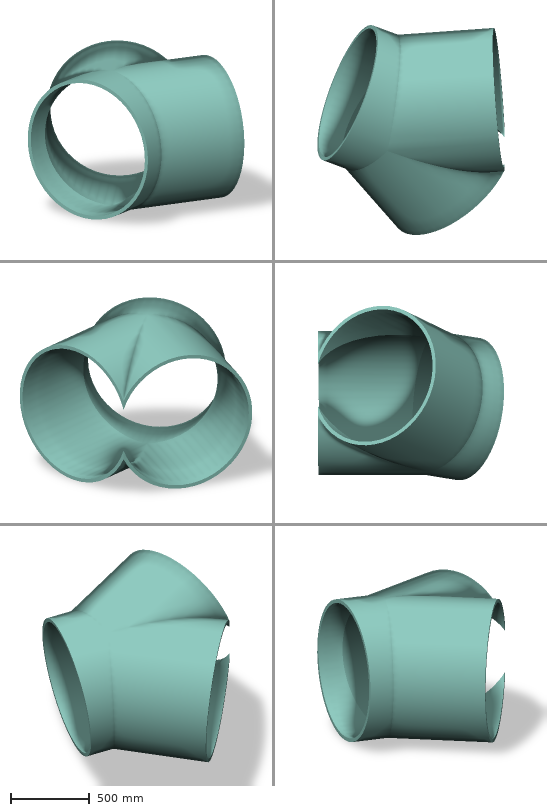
import cadquery as cq
import math

outer_diameter = 914.4
bore_diameter = 867.46
outer_radius = outer_diameter / 2
bore_radius = bore_diameter / 2

inlet_length = 279.4
branch_length = 711.2

branch_angle = 30.0
lean = math.radians(branch_angle)

miter_slope = math.tan(lean / 2)

reach = 2 * (inlet_length + branch_length)

overrun = outer_diameter


def pipe(start, end):
    """Hollow round pipe between two axis points in the XY plane."""
    axis = cq.Vector(*end) - cq.Vector(*start)
    section = cq.Workplane(cq.Plane(origin=start, xDir=(0, 0, 1), normal=axis.toTuple()))
    return section.circle(outer_radius).circle(bore_radius).extrude(axis.Length)


def prism(corners):
    """Upright prism taller than the part, used to trim a pipe at its miter planes."""
    return cq.Workplane("XY").polyline(corners).close().extrude(outer_diameter, both=True)


def inlet():
    """Pipe along Y, cut to a point by the two miter planes."""
    region = prism([(0, 0), (reach, -reach * miter_slope), (reach, -reach),
                    (-reach, -reach), (-reach, -reach * miter_slope)])
    return pipe((0, -inlet_length, 0), (0, overrun, 0)).intersect(region)


def right_branch():
    """Leaning pipe, cut by the inlet miter plane and by the middle plane X = 0."""
    region = prism([(0, 0), (reach, -reach * miter_slope), (reach, reach), (0, reach)])
    axis_x = math.sin(lean)
    axis_y = math.cos(lean)
    start = (-overrun * axis_x, -overrun * axis_y, 0)
    end = (branch_length * axis_x, branch_length * axis_y, 0)
    return pipe(start, end).intersect(region)


branch = right_branch()
result = inlet().union(branch).union(branch.mirror("YZ"))